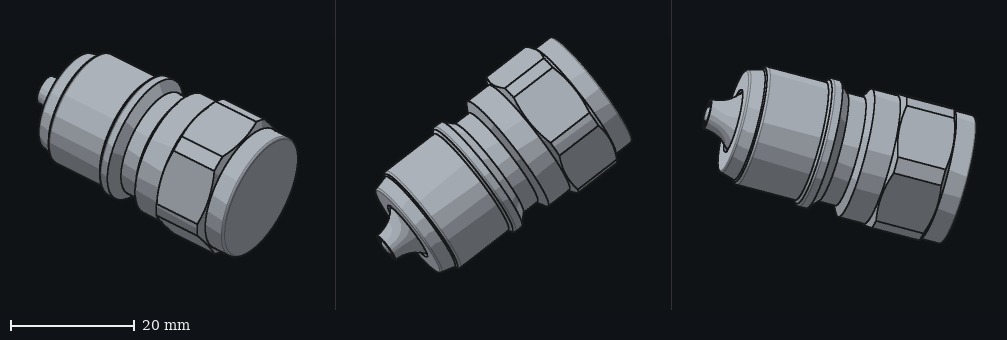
import cadquery as cq
import math


body_radius = 9.9
collar_radius = 10.75
lock_groove_radius = 9.12
nose_face_radius = 8.63
nose_base_radius = 9.25
bore_radius = 5.2
hex_corner_radius = 12.0
hex_across_flats = 22.0

nose_face_x = 4.8
nose_cone_end_x = 7.35
collar_start_x = 17.9
collar_flat_end_x = 20.0
lock_groove_start_x = 21.55
lock_groove_end_x = 24.5
hex_start_x = 29.8
hex_end_x = 39.3
overall_length = 42.81

nose_edge_round = 0.3
body_step_length = 0.25
body_edge_round = 0.38
collar_edge_round = 0.35
collar_step_length = 0.43
rear_edge_round = 0.38
shoulder_angle = math.radians(60)
hex_chamfer_angle = math.radians(30)

poppet_face_x = 0.39
poppet_tip_radius = 2.5
poppet_base_radius = 5.08
poppet_flare_radius = 5.95
flare_rise = poppet_base_radius - poppet_tip_radius
flare_angle = math.acos(1 - flare_rise / poppet_flare_radius)
bore_floor_x = poppet_face_x + poppet_flare_radius * math.sin(flare_angle)
pin_recess_radius = 2.05
pin_recess_depth = 0.15
pin_radius = 1.5
pin_round = 0.9
pin_length = 1.5


def revolve_about_x(profile):
    """Close a half profile in the XY plane and spin it around the X axis."""
    return profile.close().revolve(360, (0, 0, 0), (1, 0, 0))


def line_and_front_round(profile, front_x, radius, edge_round):
    """Draw a line to a rounded edge facing -X, then the quarter round up to the given radius."""
    return profile.lineTo(front_x, radius - edge_round).radiusArc(
        (front_x + edge_round, radius), edge_round
    )


def make_body():
    """Turned body: nose, sleeve, locking collar, groove, shoulder and rear end."""
    shoulder_length = (collar_radius - lock_groove_radius) / math.tan(shoulder_angle)
    body_start_x = nose_cone_end_x + body_step_length
    collar_step_x = collar_start_x + collar_step_length
    profile = cq.Workplane("XY").moveTo(nose_face_x, 0)
    profile = line_and_front_round(profile, nose_face_x, nose_face_radius, nose_edge_round)
    profile = profile.lineTo(nose_cone_end_x, nose_base_radius)
    profile = line_and_front_round(profile, body_start_x, body_radius, body_edge_round)
    profile = profile.lineTo(collar_start_x, body_radius)
    profile = line_and_front_round(profile, collar_step_x, collar_radius, collar_edge_round)
    profile = (
        profile.lineTo(collar_flat_end_x, collar_radius)
        .lineTo(lock_groove_start_x, lock_groove_radius)
        .lineTo(lock_groove_end_x, lock_groove_radius)
        .lineTo(lock_groove_end_x + shoulder_length, collar_radius)
        .lineTo(overall_length - rear_edge_round, collar_radius)
        .radiusArc((overall_length, collar_radius - rear_edge_round), rear_edge_round)
        .lineTo(overall_length, 0)
    )
    return revolve_about_x(profile)


def make_hex():
    """Wrench hexagon with flats facing +Z and -Z, chamfered to a cone at both ends."""
    chamfer_length = (hex_corner_radius - collar_radius) * math.tan(hex_chamfer_angle)
    hex_corner_to_corner = hex_across_flats / math.cos(math.pi / 6)
    hex_prism = (
        cq.Workplane("YZ")
        .workplane(offset=hex_start_x)
        .polygon(6, hex_corner_to_corner)
        .extrude(hex_end_x - hex_start_x)
    )
    envelope = revolve_about_x(
        cq.Workplane("XY")
        .moveTo(hex_start_x, 0)
        .lineTo(hex_start_x, collar_radius)
        .lineTo(hex_start_x + chamfer_length, hex_corner_radius)
        .lineTo(hex_end_x - chamfer_length, hex_corner_radius)
        .lineTo(hex_end_x, collar_radius)
        .lineTo(hex_end_x, 0)
    )
    return hex_prism.intersect(envelope)


def make_bore():
    """Shallow bore in the nose whose floor surrounds the root of the valve poppet."""
    return (
        cq.Workplane("YZ")
        .workplane(offset=nose_face_x)
        .circle(bore_radius)
        .extrude(bore_floor_x - nose_face_x)
    )


def make_poppet():
    """Flared valve poppet with a round-nosed pin standing in a shallow front recess."""
    flare_middle = (
        poppet_face_x + poppet_flare_radius * math.sin(flare_angle / 2),
        poppet_tip_radius + poppet_flare_radius * (1 - math.cos(flare_angle / 2)),
    )
    flare = revolve_about_x(
        cq.Workplane("XY")
        .moveTo(poppet_face_x, 0)
        .lineTo(poppet_face_x, poppet_tip_radius)
        .threePointArc(flare_middle, (bore_floor_x, poppet_base_radius))
        .lineTo(bore_floor_x, 0)
    )
    pin_recess = (
        cq.Workplane("YZ")
        .workplane(offset=poppet_face_x)
        .circle(pin_recess_radius)
        .extrude(pin_recess_depth)
    )
    pin = (
        cq.Workplane("YZ")
        .circle(pin_radius)
        .extrude(pin_length)
        .faces("<X")
        .edges()
        .fillet(pin_round)
    )
    return flare.cut(pin_recess).union(pin)


body = make_body().union(make_hex()).cut(make_bore())
result = body.union(make_poppet())